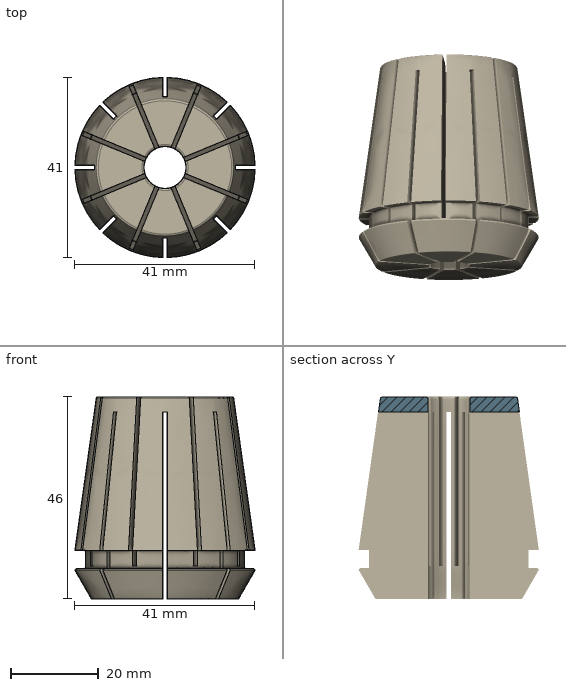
import cadquery as cq
import math

total_height = 46.0
max_radius = 20.5
bore_diameter = 9.5
rim_chamfer = 0.4
top_edge_radius = 0.5
bottom_edge_radius = 0.2

flange_top_z = 7.0
flange_half_angle = 30.0
flange_cone_height = flange_top_z - rim_chamfer
flange_bottom_radius = max_radius - flange_cone_height * math.tan(math.radians(flange_half_angle))

neck_radius = 18.12
neck_corner_radius = 0.2
neck_top_z = 11.1

taper_half_angle = 8.0
taper_top_radius = max_radius - (total_height - neck_top_z) * math.tan(math.radians(taper_half_angle))

slots_per_end = 8
slot_width = 1.0
bottom_slot_end_z = 42.5
top_slot_floor_z = 7.5
slot_overrun = 1.0

selection_margin = 0.1


def neck_corner_selector():
    """Box that just encloses the two circles at the ends of the neck."""
    reach = neck_radius + selection_margin
    return cq.selectors.BoxSelector(
        (-reach, -reach, flange_top_z - selection_margin),
        (reach, reach, neck_top_z + selection_margin),
        boundingbox=True,
    )


def make_body():
    """Revolve the half section with bore and flange rim chamfer, then round its edges."""
    bore_radius = bore_diameter / 2
    profile = [
        (bore_radius, 0),
        (flange_bottom_radius, 0),
        (max_radius, flange_cone_height),
        (max_radius - rim_chamfer, flange_top_z),
        (neck_radius, flange_top_z),
        (neck_radius, neck_top_z),
        (max_radius, neck_top_z),
        (taper_top_radius, total_height),
        (bore_radius, total_height),
    ]
    body = cq.Workplane("XZ").polyline(profile).close().revolve(360, (0, 0), (0, 1))
    body = body.faces(">Z").edges().fillet(top_edge_radius)
    bottom_outer_edge = cq.selectors.RadiusNthSelector(-1)
    body = body.faces("<Z").edges(bottom_outer_edge).fillet(bottom_edge_radius)
    return body.edges(neck_corner_selector()).edges("%CIRCLE").fillet(neck_corner_radius)


def make_slots(start_z, end_z, first_angle):
    """Radial slot cutters, each running from the axis past the outer surface."""
    slot_length = max_radius + slot_overrun
    pitch_angle = 360 / slots_per_end
    blade = (
        cq.Workplane("XY")
        .workplane(offset=start_z)
        .center(slot_length / 2, 0)
        .rect(slot_length, slot_width)
        .extrude(end_z - start_z)
    )
    cutters = cq.Workplane("XY")
    for index in range(slots_per_end):
        angle = first_angle + index * pitch_angle
        cutters = cutters.union(blade.rotate((0, 0, 0), (0, 0, 1), angle))
    return cutters


bottom_slots = make_slots(0, bottom_slot_end_z, 0)
top_slots = make_slots(top_slot_floor_z, total_height, 180 / slots_per_end)

result = make_body().cut(bottom_slots).cut(top_slots)